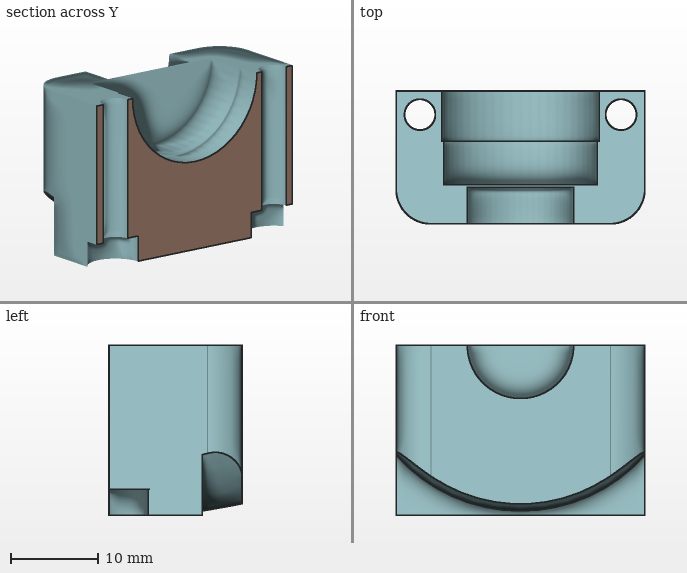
import cadquery as cq
import math

width = 28.5
depth = 15.25
height = 19.5
corner_radius = 4.0

front_bore_radius = 6.1
front_bore_depth = 4.22
membrane_thickness = 0.28
middle_bore_radius = 8.78
rear_bore_radius = 9.0
rear_bore_depth = 5.75

nose_depth = 4.55
nose_base_radius = 18.98
nose_taper = 10.0

hole_diameter = 3.5
hole_inset = 2.75
counterbore_diameter = 6.5
counterbore_depth = 3.0


def axial_cylinder(radius, y_start, y_end):
    """Cylinder along Y whose axis lies in the top face."""
    return (
        cq.Workplane("XZ", origin=(0, y_start, height))
        .circle(radius)
        .extrude(y_start - y_end)
    )


def make_block():
    block = cq.Workplane("XY").box(width, depth, height, centered=(True, False, False))
    return block.edges("|Z and <Y").fillet(corner_radius)


def make_nose_relief():
    """Material outside the nose cone, removed from the front part of the block."""
    nose_tip_radius = nose_base_radius - nose_depth * math.tan(math.radians(nose_taper))
    cone = cq.Solid.makeCone(
        nose_tip_radius,
        nose_base_radius,
        nose_depth,
        pnt=cq.Vector(0, 0, height),
        dir=cq.Vector(0, 1, 0),
    )
    slab = cq.Workplane("XY").box(width, nose_depth, height, centered=(True, False, False))
    return slab.cut(cq.Workplane(obj=cone))


def make_screw_cutter(side):
    """Hole and open counterbore for the left (-1) or right (+1) rear corner."""
    x = side * (width / 2 - hole_inset)
    y = depth - hole_inset
    hole = cq.Workplane("XY").center(x, y).circle(hole_diameter / 2).extrude(height)
    counterbore = (
        cq.Workplane("XY").center(x, y).circle(counterbore_diameter / 2).extrude(counterbore_depth)
    )
    corner_opening = (
        cq.Workplane("XY")
        .center(x + side * hole_inset / 2, y + hole_inset / 2)
        .rect(hole_inset, hole_inset)
        .extrude(counterbore_depth)
    )
    return hole.union(counterbore).union(corner_opening)


result = make_block().cut(make_nose_relief())

middle_bore_start = front_bore_depth + membrane_thickness
rear_bore_start = depth - rear_bore_depth
result = result.cut(axial_cylinder(front_bore_radius, 0, front_bore_depth))
result = result.cut(axial_cylinder(middle_bore_radius, middle_bore_start, rear_bore_start))
result = result.cut(axial_cylinder(rear_bore_radius, rear_bore_start, depth))

for side in (-1, 1):
    result = result.cut(make_screw_cutter(side))